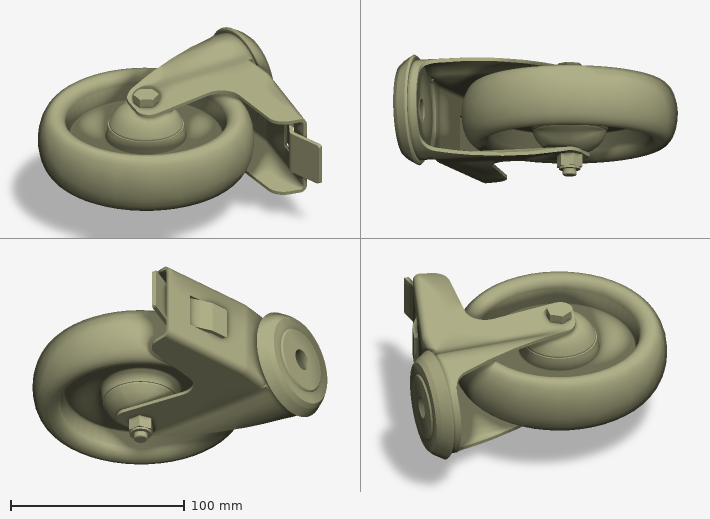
import cadquery as cq
import math


overall_height = 155.0
wheel_radius = 62.5
wheel_width = 35.0
wheel_x = 31.2
wheel_y = -(overall_height - wheel_radius)
wheel_axis = (wheel_x, wheel_y)
past_all = 120.0

head_radius = 32.0
head_shoulder_radius = 28.7
head_top_radius = 26.3
head_cap_radius = 19.5
head_cap_edge_radius = 18.5
head_cap_height = 1.0
head_shoulder_y = -3.6
head_rim_y = -9.0
head_underside_radius = 31.0
head_underside_y = -10.2
mounting_hole_radius = 6.4

sheet = 2.0
fork_top_y = -11.7
base_step_run = 3.0
fork_neck_radius = 29.0
fork_half_width = 24.0
neck_blend_radius = 10.0
fork_bend_radius = 4.0
roof_bend_x = 38.0
roof_bend_radius = 14.0
roof_slope = math.radians(12.2)
fork_end_x = 97.2
neck_front_y = -15.2
neck_front_corner = (-12.9, neck_front_y, 12.0)
arm_foot_front_corner = (16.9, -99.0, 15.0)
arm_foot_rear_corner = (46.9, -104.1, 7.2)
arm_rear_corner = (38.6, -42.0, 12.0)
tail_bottom_y = -43.0
tail_corner_radius = 10.0

web_half_thickness = 2.0
web_fillet = 1.0
hub_base_radius = 23.2
hub_top_radius = 21.9
hub_half_length = 10.0
rim_base_radius = 44.6
rim_top_radius = 46.5
rim_round_height = 6.5
crest_radius = 53.5

cap_radius = 21.3
cap_lip = 1.0
cap_round_mid_radius = 17.4
cap_round_mid_z = wheel_width / 2
cap_top_radius = 10.0

shank_radius = 4.0
shank_end_z = -36.0
shank_end_chamfer = 0.5
hex_across_flats = 13.0
bolt_head_height = 5.5
bolt_head_chamfer = 0.5
nut_hex_height = 7.2
nut_collar_radius = 6.2
nut_collar_height = 1.3

lever_thickness = 2.5
lever_half_width = 12.5
lever_tab_half_width = 9.5
lever_tab_gap = 0.5
lever_tab_start_x = 55.9
lever_tab_end_x = 66.5
lever_end_x = 112.0
lever_down_slope = math.radians(31.6)
lever_up_slope = math.radians(13.5)
lever_bend_x = 89.0
lever_bend_radius = 3.0
lever_corner_radius = 2.0
slot_clearance = 0.5
lever_slot_start_x = 65.5
lever_slot_end_x = 81.0
lever_shoulder_x = 80.4


def rounded_outline(corners):
    """Closed XY outline through (x, y, radius) corners, each rounded with a tangent arc."""
    arcs = []
    for i, (x, y, radius) in enumerate(corners):
        corner = cq.Vector(x, y)
        before = (cq.Vector(*corners[i - 1][:2]) - corner).normalized()
        after = (cq.Vector(*corners[(i + 1) % len(corners)][:2]) - corner).normalized()
        half_angle = before.getAngle(after) / 2
        reach = radius / math.tan(half_angle)
        bisector = (before + after).normalized()
        middle = corner + bisector * (radius / math.sin(half_angle) - radius)
        arcs.append((corner + before * reach, middle, corner + after * reach, radius))
    outline = cq.Workplane("XY").moveTo(*arcs[0][2].toTuple()[:2])
    for start, middle, end, radius in arcs[1:] + arcs[:1]:
        outline = outline.lineTo(*start.toTuple()[:2])
        if radius > 0:
            outline = outline.threePointArc(middle.toTuple()[:2], end.toTuple()[:2])
    return outline.close()


def roof_y(x):
    """Height of the sloping top of the fork, behind its bend."""
    return fork_top_y - (x - roof_bend_x) * math.tan(roof_slope)


def axle_rod():
    """Rod that clears the bolt shank along the wheel axis."""
    return cq.Workplane("XY").center(*wheel_axis).circle(shank_radius).extrude(past_all / 2, both=True)


def mounting_rod():
    """Rod that clears the mounting hole along the swivel axis."""
    return cq.Workplane("XZ").circle(mounting_hole_radius).extrude(past_all / 2, both=True)


def make_head():
    """Turned bearing head with the mounting hole through its axis."""
    profile = [
        (0, 0),
        (head_cap_edge_radius, 0),
        (head_cap_radius, -head_cap_height),
        (head_top_radius, -head_cap_height),
        (head_shoulder_radius, head_shoulder_y),
        (head_radius, head_rim_y),
        (head_underside_radius, head_underside_y),
        (0, head_underside_y),
    ]
    head = cq.Workplane("XY").polyline(profile).close().revolve(360, (0, 0), (0, 1))
    return head.cut(mounting_rod())


def neck_block(inset, top_y):
    """Upright round neck, blended into the flat sides of the arms."""
    radius = fork_neck_radius - inset
    side_z = fork_half_width - inset
    blend = neck_blend_radius + inset
    blend_z = side_z + blend
    blend_x = math.sqrt((radius + blend) ** 2 - blend_z ** 2)
    share = radius / (radius + blend)
    neck_x, neck_z = blend_x * share, blend_z * share
    to_neck = math.atan2(neck_z - blend_z, neck_x - blend_x)
    middle_angle = (to_neck - math.pi / 2) / 2
    middle_x = blend_x + blend * math.cos(middle_angle)
    middle_z = blend_z + blend * math.sin(middle_angle)
    return (
        cq.Workplane("XZ", origin=(0, top_y, 0))
        .moveTo(blend_x, side_z)
        .threePointArc((middle_x, middle_z), (neck_x, neck_z))
        .threePointArc((-radius, 0), (neck_x, -neck_z))
        .threePointArc((middle_x, -middle_z), (blend_x, -side_z))
        .close()
        .extrude(past_all)
    )


def arm_block(inset):
    """Block between the outer (or inset) faces of both arms and the roof that joins them."""
    side_z = fork_half_width - inset
    start_x = fork_neck_radius / 2
    top_y = fork_top_y - inset
    bend_x = roof_bend_x - inset * math.tan(roof_slope / 2)
    end_y = top_y - (past_all - bend_x) * math.tan(roof_slope)
    corners = [
        (start_x, top_y, 0),
        (bend_x, top_y, roof_bend_radius - inset),
        (past_all, end_y, 0),
        (past_all, -past_all, 0),
        (start_x, -past_all, 0),
    ]
    block = rounded_outline(corners).extrude(side_z, both=True)
    for z in (side_z, -side_z):
        edges = cq.selectors.BoxSelector((start_x + 1, -past_all / 3, z - 1), (past_all - 1, 0, z + 1))
        block = block.edges(edges).fillet(fork_bend_radius - inset)
    return block


def raised_base():
    """Round base plate, standing above the roof of the arms up to the swivel head."""
    return (
        cq.Workplane("XZ", origin=(0, head_underside_y, 0))
        .circle(fork_neck_radius)
        .extrude(head_underside_y - fork_top_y)
    )


def base_hollow():
    """Hollow under the base plate, with a conical step down to the roof on the side of the arms."""
    inner_radius = fork_neck_radius - sheet
    upper_y = head_underside_y - sheet
    lower_y = fork_top_y - sheet
    hollow = cq.Workplane("XZ", origin=(0, upper_y, 0)).circle(inner_radius).extrude(upper_y - lower_y)
    step_profile = [
        (0, upper_y),
        (inner_radius, upper_y),
        (inner_radius + base_step_run, lower_y),
        (0, lower_y),
    ]
    step = cq.Workplane("XY").polyline(step_profile).close().revolve(360, (0, 0), (0, 1))
    roof_width = 2 * (fork_half_width - fork_bend_radius)
    arm_side = cq.Workplane("XY").box(past_all, past_all, roof_width, centered=(False, True, True))
    return hollow.union(step.intersect(arm_side))


def fork_side():
    """Side outline that trims the neck and the arms, extruded across the whole fork."""
    end_rake = math.tan(roof_slope)
    end_top_y = roof_y(fork_end_x)
    tail_bottom_x = fork_end_x + (tail_bottom_y - end_top_y) * end_rake
    corners = [
        (-past_all, 0, 0),
        (-past_all, neck_front_y, 0),
        neck_front_corner,
        arm_foot_front_corner,
        arm_foot_rear_corner,
        arm_rear_corner,
        (tail_bottom_x, tail_bottom_y, tail_corner_radius),
        (fork_end_x - end_top_y * end_rake, 0, 0),
    ]
    return rounded_outline(corners).extrude(past_all, both=True)


def make_fork():
    """Sheet fork: a round base, two arms, a roof between them and a slot for the brake lever."""
    outside = neck_block(0, fork_top_y).union(arm_block(0)).union(raised_base())
    inside = neck_block(sheet, fork_top_y - sheet).union(arm_block(sheet)).union(base_hollow())
    fork = outside.cut(inside).intersect(fork_side())
    slot_length = lever_slot_end_x - lever_slot_start_x
    slot = (
        cq.Workplane("XY")
        .box(slot_length, past_all, 2 * (lever_tab_half_width + slot_clearance))
        .translate((lever_slot_start_x + slot_length / 2, 0, 0))
    )
    return fork.cut(slot).cut(mounting_rod()).cut(axle_rod())


def make_wheel():
    """Wheel with a half-elliptical tread, a thin web and a tapered hub."""
    half = wheel_width / 2
    blank = (
        cq.Workplane("XZ")
        .moveTo(0, -half)
        .lineTo(crest_radius, -half)
        .ellipseArc(wheel_radius - crest_radius, half, -90, 90, startAtCurrent=True)
        .lineTo(0, half)
        .close()
        .revolve(360, (0, 0), (0, 1))
    )
    recess = (
        cq.Workplane("XZ")
        .moveTo(0, hub_half_length)
        .lineTo(hub_top_radius, hub_half_length)
        .lineTo(hub_base_radius, web_half_thickness + web_fillet)
        .radiusArc((hub_base_radius + web_fillet, web_half_thickness), -web_fillet)
        .lineTo(rim_base_radius - web_fillet, web_half_thickness)
        .radiusArc((rim_base_radius, web_half_thickness + web_fillet), -web_fillet)
        .lineTo(rim_top_radius, half - rim_round_height)
        .ellipseArc(crest_radius - rim_top_radius, rim_round_height, 90, 180, sense=-1)
        .lineTo(crest_radius, wheel_width)
        .lineTo(0, wheel_width)
        .close()
        .revolve(360, (0, 0), (0, 1))
    )
    wheel = blank.cut(recess).cut(recess.mirror("XY"))
    return wheel.translate((wheel_x, wheel_y, 0)).cut(axle_rod())


def make_hub_cap(turn):
    """Domed cap between the hub and the inside of an arm: the upper one, or the lower at 180 degrees."""
    cap = (
        cq.Workplane("XZ")
        .moveTo(shank_radius, hub_half_length)
        .lineTo(cap_radius, hub_half_length)
        .lineTo(cap_radius, hub_half_length + cap_lip)
        .threePointArc((cap_round_mid_radius, cap_round_mid_z), (cap_top_radius, fork_half_width - sheet))
        .lineTo(shank_radius, fork_half_width - sheet)
        .close()
        .revolve(360, (0, 0), (0, 1))
    )
    return cap.rotate((0, 0, 0), (1, 0, 0), turn).translate((wheel_x, wheel_y, 0))


hex_across_corners = hex_across_flats / math.cos(math.radians(30))


def make_bolt():
    """Hexagon bolt, its head on the upper arm and its shank through to below the nut."""
    hexagon = (
        cq.Workplane("XY", origin=(0, 0, fork_half_width))
        .polygon(6, hex_across_corners)
        .extrude(bolt_head_height)
    )
    round_top = (
        cq.Workplane("XY", origin=(0, 0, fork_half_width))
        .circle(hex_across_corners / 2)
        .extrude(bolt_head_height)
        .faces(">Z")
        .chamfer(bolt_head_chamfer)
    )
    shank = (
        cq.Workplane("XY", origin=(0, 0, shank_end_z))
        .circle(shank_radius)
        .extrude(fork_half_width - shank_end_z)
        .faces("<Z")
        .chamfer(shank_end_chamfer)
    )
    return hexagon.intersect(round_top).union(shank).translate((wheel_x, wheel_y, 0))


def make_nut():
    """Hexagon nut with a round collar, against the lower arm."""
    hexagon = (
        cq.Workplane("XY")
        .polygon(6, hex_across_corners)
        .extrude(-nut_hex_height)
        .rotate((0, 0, 0), (0, 0, 1), 90)
    )
    collar = cq.Workplane("XY").circle(nut_collar_radius).extrude(-nut_hex_height - nut_collar_height)
    nut = hexagon.union(collar).translate((wheel_x, wheel_y, -fork_half_width))
    return nut.cut(axle_rod())


tab_lift = lever_tab_gap / math.cos(roof_slope)
lever_tab_y = roof_y(lever_tab_end_x) + tab_lift
lever_bend_y = lever_tab_y - (lever_bend_x - lever_tab_end_x) * math.tan(lever_down_slope)


def lever_plan(end_x, half_width):
    """Tall block over the lever, from the start of its tab to `end_x`."""
    length = end_x - lever_tab_start_x
    return (
        cq.Workplane("XZ", origin=(lever_tab_start_x + length / 2, 0, 0))
        .rect(length, 2 * half_width)
        .extrude(past_all, both=True)
    )


def make_lever():
    """Bent strip: a tab on the roof of the fork, a slope down through the slot, and a pedal."""
    t = lever_thickness
    tab_start_y = roof_y(lever_tab_start_x) + tab_lift
    pedal_end_y = lever_bend_y + (lever_end_x - lever_bend_x) * math.tan(lever_up_slope)
    tab_mitre = (lever_down_slope + roof_slope) / 2
    bend_mitre = (lever_down_slope - lever_up_slope) / 2

    def above(x, y, lean, half_turn):
        """Point of the upper face across the strip from a point of its lower face."""
        reach = t / math.cos(half_turn)
        return x + reach * math.sin(lean), y + reach * math.cos(lean)

    tab_half_turn = (lever_down_slope - roof_slope) / 2
    bend_half_turn = (lever_up_slope + lever_down_slope) / 2
    corners = [
        (lever_tab_start_x, tab_start_y, 0),
        (lever_tab_end_x, lever_tab_y, lever_bend_radius),
        (lever_bend_x, lever_bend_y, lever_bend_radius + t),
        (lever_end_x, pedal_end_y, 0),
        (*above(lever_end_x, pedal_end_y, -lever_up_slope, 0), 0),
        (*above(lever_bend_x, lever_bend_y, bend_mitre, bend_half_turn), lever_bend_radius),
        (*above(lever_tab_end_x, lever_tab_y, tab_mitre, tab_half_turn), lever_bend_radius + t),
        (*above(lever_tab_start_x, tab_start_y, roof_slope, 0), 0),
    ]
    strip = rounded_outline(corners).extrude(lever_half_width, both=True)
    shoulder_y = lever_tab_y - (lever_shoulder_x - lever_tab_end_x) * math.tan(lever_down_slope)
    shoulder_y += t / math.cos(lever_down_slope)
    behind_shoulders = (
        cq.Workplane("XY")
        .box(past_all, past_all, past_all, centered=(False, True, True))
        .rotate((0, 0, 0), (0, 0, 1), -math.degrees(lever_down_slope))
        .translate((lever_shoulder_x, shoulder_y, 0))
    )
    pedal = lever_plan(lever_end_x, lever_half_width).edges("|Y and >X").fillet(lever_corner_radius)
    tab = lever_plan(lever_bend_x, lever_tab_half_width).edges("|Y and <X").fillet(lever_corner_radius)
    return strip.intersect(pedal.intersect(behind_shoulders).union(tab))


head = make_head()
fork = make_fork()
wheel = make_wheel()
hub_caps = [make_hub_cap(turn) for turn in (0, 180)]
bolt = make_bolt()
nut = make_nut()
lever = make_lever()

result = cq.Compound.makeCompound(
    [body.val() for body in (head, fork, wheel, *hub_caps, bolt, nut, lever)]
)